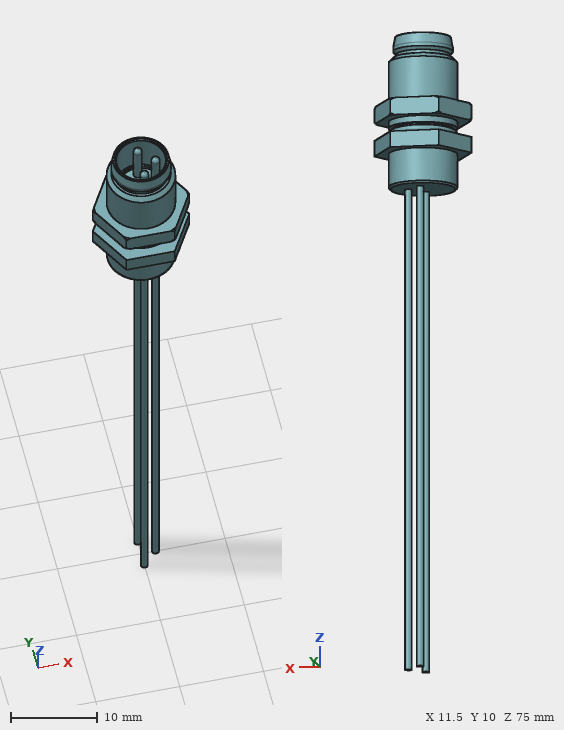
import cadquery as cq
import math

total_height = 75.0
body_bottom = 57.0

body_radius = 8.0 / 2
shoulder_bottom = 72.0
shoulder_top = 72.5
bottom_chamfer = 0.2

rim_radius = 6.5 / 2
ring_radius = 7.0 / 2
ring_top = 73.8
ring_bottom = 73.35
neck_radius = 3.15
neck_top = 73.0

groove_radius = 6.9 / 2
groove_top = 64.2
seal_thickness = 1.0

across_flats = 10.0
across_corners = across_flats / math.cos(math.pi / 6)
nut_bottom = 64.95
nut_height = 2.0
nut_chamfer = 0.2
flange_bottom = 61.1
flange_height = 1.9
flange_top = flange_bottom + flange_height

socket_radius = 5.8 / 2
socket_depth = 5.0
mouth_chamfer = 0.15
floor_step_radius = 2.6
floor_step_height = 0.4
pin_radius = 1.0 / 2
pin_top = 74.8
pin_tip_rounding = 0.45

wire_radius = 0.8 / 2
contact_offset = 1.7
contacts = [(0, contact_offset), (contact_offset, 0), (0, -contact_offset)]


def make_body():
    """Turned body with its seal: half profile in the XZ plane revolved about Z."""
    shoulder_height = shoulder_top - shoulder_bottom
    seal_radius = seal_thickness / 2
    seal_center = body_radius - seal_radius
    return (
        cq.Workplane("XZ")
        .moveTo(0, body_bottom)
        .lineTo(body_radius - bottom_chamfer, body_bottom)
        .lineTo(body_radius, body_bottom + bottom_chamfer)
        .lineTo(body_radius, flange_top)
        .lineTo(seal_center, flange_top)
        .threePointArc(
            (body_radius, flange_top + seal_radius),
            (seal_center, flange_top + seal_thickness),
        )
        .lineTo(groove_radius, flange_top + seal_thickness)
        .lineTo(groove_radius, groove_top)
        .lineTo(body_radius, groove_top)
        .lineTo(body_radius, shoulder_bottom)
        .lineTo(body_radius - shoulder_height, shoulder_top)
        .lineTo(neck_radius, shoulder_top)
        .lineTo(neck_radius, neck_top)
        .lineTo(ring_radius, ring_bottom)
        .lineTo(ring_radius, ring_top)
        .lineTo(rim_radius, total_height)
        .lineTo(0, total_height)
        .close()
        .revolve(360, (0, 0), (0, 1))
    )


def make_hexagon(bottom, height):
    """Hexagonal plate with two corners on the X axis."""
    return cq.Workplane("XY").workplane(offset=bottom).polygon(6, across_corners).extrude(height)


def make_nut():
    """Hexagon whose corners are turned down at both faces."""
    blank = (
        cq.Workplane("XY")
        .workplane(offset=nut_bottom)
        .circle(across_corners / 2)
        .extrude(nut_height)
        .faces("<Z or >Z")
        .chamfer(nut_chamfer)
    )
    return make_hexagon(nut_bottom, nut_height).intersect(blank)


def make_socket():
    """Round recess in the top of the body with a chamfered mouth and a step at its floor."""
    floor = total_height - socket_depth
    step_top = floor + floor_step_height
    profile = [
        (0, floor),
        (floor_step_radius, floor),
        (floor_step_radius, step_top),
        (socket_radius, step_top),
        (socket_radius, total_height - mouth_chamfer),
        (socket_radius + mouth_chamfer, total_height),
        (0, total_height),
    ]
    return cq.Workplane("XZ").polyline(profile).close().revolve(360, (0, 0), (0, 1))


def make_pins():
    """Contact pins with rounded tips standing on the socket floor."""
    floor = total_height - socket_depth
    return (
        cq.Workplane("XY")
        .workplane(offset=floor)
        .pushPoints(contacts)
        .circle(pin_radius)
        .extrude(pin_top - floor)
        .faces(">Z")
        .edges()
        .fillet(pin_tip_rounding)
    )


def make_wires():
    """Straight wires from the bottom of the body to Z = 0."""
    return cq.Workplane("XY").pushPoints(contacts).circle(wire_radius).extrude(body_bottom)


result = (
    make_body()
    .union(make_nut())
    .union(make_hexagon(flange_bottom, flange_height))
    .cut(make_socket())
    .union(make_pins())
    .union(make_wires())
)